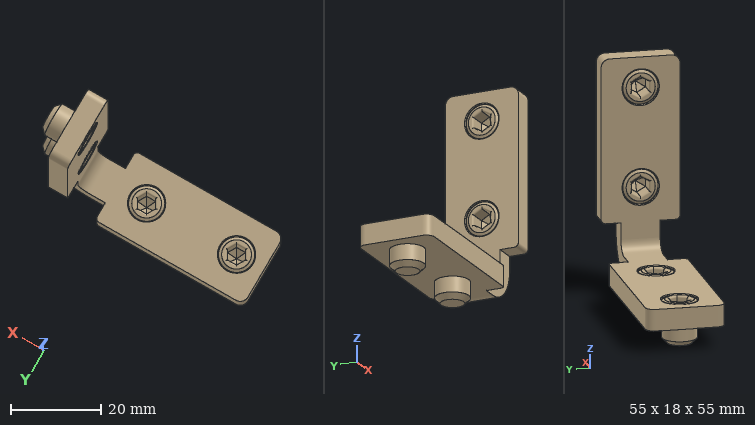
import cadquery as cq
import math


OVERALL = 55.0
THICKNESS = 5.0
LEG_LENGTH = 50.0
SCREW_PROTRUSION = OVERALL - LEG_LENGTH
PLATE_LENGTH = 38.0
PLATE_WIDTH = 18.0
NECK_WIDTH = 8.95
BEND_INNER_RADIUS = 3.0
BEND_OUTER_RADIUS = 8.6
END_CORNER_RADIUS = 2.0
NECK_CORNER_RADIUS = 1.0

FIRST_SCREW_OFFSET = 7.0
SCREW_PITCH = 23.0
SCREW_OFFSETS = [FIRST_SCREW_OFFSET, FIRST_SCREW_OFFSET + SCREW_PITCH]

SCREW_RADIUS = 4.0
SCREW_TOP_CHAMFER_WIDTH = 0.7
SCREW_TOP_CHAMFER_ANGLE = 30.0
SCREW_TOP_CHAMFER_DEPTH = SCREW_TOP_CHAMFER_WIDTH * math.tan(math.radians(SCREW_TOP_CHAMFER_ANGLE))
SCREW_TIP_CHAMFER = 1.25
HOLE_CHAMFER = 0.2

HEXAGON_SIDES = 6
SOCKET_FLATS = 4.0
SOCKET_MOUTH_RADIUS = 0.45
SOCKET_DEPTH = 4.0
SOCKET_POINT_DEPTH = 1.3

LEG_MIRROR_NORMAL = cq.Vector(1, 0, 1)


def on_upright_leg(part):
    """Mirror a part of the flat leg onto the upright leg."""
    return part.mirror(LEG_MIRROR_NORMAL)


def make_plate():
    """Wide plate of the flat leg, with large free corners and small corners beside the neck."""
    return (
        cq.Workplane("XY")
        .box(PLATE_LENGTH, PLATE_WIDTH, THICKNESS, centered=(False, True, False))
        .translate((-LEG_LENGTH, 0, 0))
        .edges("|Z and <X")
        .fillet(END_CORNER_RADIUS)
        .edges("|Z and >X")
        .fillet(NECK_CORNER_RADIUS)
    )


def make_neck():
    """Narrow bent strip that joins the two plates."""
    plate_end = LEG_LENGTH - PLATE_LENGTH
    diagonal = math.sqrt(0.5)
    outer_mid = BEND_OUTER_RADIUS * (1 - diagonal)
    inner_start = THICKNESS + BEND_INNER_RADIUS
    inner_mid = inner_start - BEND_INNER_RADIUS * diagonal
    return (
        cq.Workplane("XZ")
        .moveTo(-plate_end, 0)
        .lineTo(-BEND_OUTER_RADIUS, 0)
        .threePointArc((-outer_mid, outer_mid), (0, BEND_OUTER_RADIUS))
        .lineTo(0, plate_end)
        .lineTo(-THICKNESS, plate_end)
        .lineTo(-THICKNESS, inner_start)
        .threePointArc((-inner_mid, inner_mid), (-inner_start, THICKNESS))
        .lineTo(-plate_end, THICKNESS)
        .close()
        .extrude(NECK_WIDTH / 2, both=True)
    )


def make_hole_cutter(offset):
    """Through hole of the flat leg, chamfered where it meets the inner face."""
    mouth_radius = SCREW_RADIUS + HOLE_CHAMFER
    return (
        cq.Workplane("XZ")
        .polyline(
            [
                (0, 0),
                (SCREW_RADIUS, 0),
                (SCREW_RADIUS, THICKNESS - HOLE_CHAMFER),
                (mouth_radius, THICKNESS),
                (0, THICKNESS),
            ]
        )
        .close()
        .revolve(360, (0, 0), (0, 1))
        .translate((offset - LEG_LENGTH, 0, 0))
    )


def make_bracket():
    """Both drilled plates joined by the bent neck."""
    plate = make_plate()
    for offset in SCREW_OFFSETS:
        plate = plate.cut(make_hole_cutter(offset))
    return make_neck().union(plate).union(on_upright_leg(plate))


def make_socket_cutter():
    """Hexagon socket with corners along X and a six-sided pointed bottom."""
    floor = THICKNESS - SOCKET_DEPTH
    corner_radius = SOCKET_FLATS / 2 / math.cos(math.pi / HEXAGON_SIDES)
    bore = (
        cq.Workplane("XY", origin=(0, 0, floor))
        .polygon(HEXAGON_SIDES, 2 * corner_radius)
        .extrude(SOCKET_DEPTH)
    )

    corners = []
    for i in range(HEXAGON_SIDES):
        angle = 2 * math.pi * i / HEXAGON_SIDES
        corners.append(cq.Vector(corner_radius * math.cos(angle), corner_radius * math.sin(angle), floor))
    apex = cq.Vector(0, 0, floor - SOCKET_POINT_DEPTH)

    outlines = [corners]
    for i in range(HEXAGON_SIDES):
        outlines.append([corners[i - 1], corners[i], apex])
    faces = [cq.Face.makeFromWires(cq.Wire.makePolygon(outline, close=True)) for outline in outlines]
    point = cq.Solid.makeSolid(cq.Shell.makeShell(faces))
    return bore.union(cq.Workplane(point))


def make_screw(offset):
    """Set screw of the flat leg, flush with the inner face and standing out below."""
    tip_radius = SCREW_RADIUS - SCREW_TIP_CHAMFER
    top_radius = SCREW_RADIUS - SCREW_TOP_CHAMFER_WIDTH
    body = (
        cq.Workplane("YZ")
        .polyline(
            [
                (0, -SCREW_PROTRUSION),
                (-tip_radius, -SCREW_PROTRUSION),
                (-SCREW_RADIUS, SCREW_TIP_CHAMFER - SCREW_PROTRUSION),
                (-SCREW_RADIUS, THICKNESS - SCREW_TOP_CHAMFER_DEPTH),
                (-top_radius, THICKNESS),
                (0, THICKNESS),
            ]
        )
        .close()
        .revolve(360, (0, 0), (0, 1))
    )
    return (
        body.cut(make_socket_cutter())
        .faces(">Z")
        .edges("%LINE")
        .fillet(SOCKET_MOUTH_RADIUS)
        .translate((offset - LEG_LENGTH, 0, 0))
    )


bracket = make_bracket()

screws = []
for screw_offset in SCREW_OFFSETS:
    screw = make_screw(screw_offset)
    screws.append(screw.val())
    screws.append(on_upright_leg(screw).val())

result = cq.Compound.makeCompound([bracket.val(), *screws])